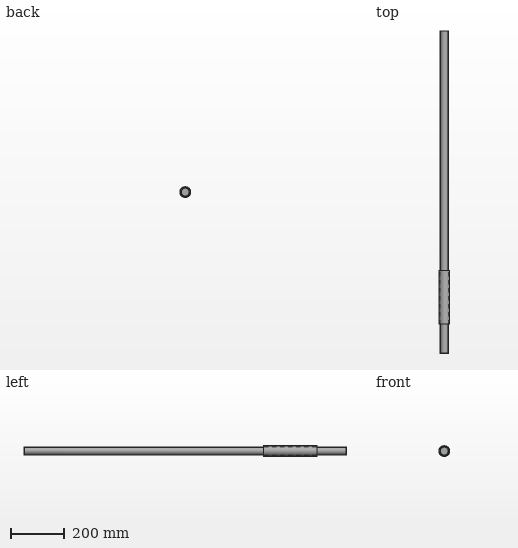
import cadquery as cq

rod_diameter = 30.0
rod_length = 1200.0
rod_near_end = -rod_length / 2

sleeve_outer_diameter = 40.0
sleeve_length = 200.0
sleeve_setback = 109.0
sleeve_near_end = rod_near_end + sleeve_setback


def plane_across_rod(y):
    """Plane square to the rod axis at the given Y, facing +Y."""
    return cq.Workplane(cq.Plane(origin=(0, y, 0), xDir=(1, 0, 0), normal=(0, 1, 0)))


def make_rod():
    """Plain solid round rod."""
    return plane_across_rod(rod_near_end).circle(rod_diameter / 2).extrude(rod_length)


def make_sleeve():
    """Tube whose bore fits the rod exactly."""
    return (
        plane_across_rod(sleeve_near_end)
        .circle(sleeve_outer_diameter / 2)
        .circle(rod_diameter / 2)
        .extrude(sleeve_length)
    )


rod = make_rod()
sleeve = make_sleeve()

result = cq.Compound.makeCompound([rod.val(), sleeve.val()])